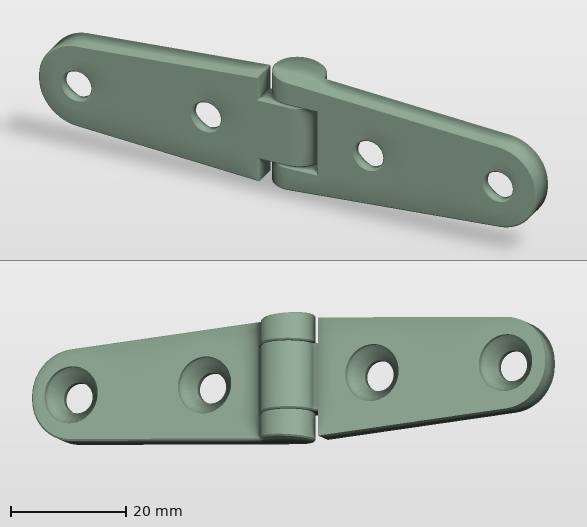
import cadquery as cq
import math

LEAF_LENGTH = 48.1
BARREL_RADIUS = 4.76
LEAF_THICKNESS = BARREL_RADIUS
AXIS_HALF_HEIGHT = 10.8
TAPER_ANGLE = math.radians(3.8)
TIP_CORNER_RADIUS = 7.8
BARREL_BLEND_RADIUS = 0.8
EDGE_BREAK = 0.3

TONGUE_HALF_HEIGHT = 6.0
SLOT_HALF_HEIGHT = 6.1
CLEARANCE_REACH = 5.6

HOLE_RADIUS = 2.7
SINK_RADIUS = 5.0
SINK_LIP_DEPTH = 0.8
SINK_DEPTH = 3.3
HOLE_OFFSETS = (15.7, 40.7)

TAPER = math.tan(TAPER_ANGLE)
ROOT_HALF_HEIGHT = AXIS_HALF_HEIGHT + BARREL_RADIUS * TAPER
TIP_HALF_HEIGHT = AXIS_HALF_HEIGHT - LEAF_LENGTH * TAPER


def tapered_outline():
    """Tapered plate with rounded tip corners, as deep as the barrel."""
    return (
        cq.Workplane("XZ")
        .polyline([
            (-BARREL_RADIUS, -ROOT_HALF_HEIGHT),
            (LEAF_LENGTH, -TIP_HALF_HEIGHT),
            (LEAF_LENGTH, TIP_HALF_HEIGHT),
            (-BARREL_RADIUS, ROOT_HALF_HEIGHT),
        ])
        .close()
        .extrude(BARREL_RADIUS, both=True)
        .edges("|Y and >X")
        .fillet(TIP_CORNER_RADIUS)
    )


def barrel_and_plate():
    """Round barrel running into a flat plate, with a blend on the back face."""
    center_distance = BARREL_RADIUS + BARREL_BLEND_RADIUS
    blend_end = math.sqrt(center_distance ** 2 - BARREL_BLEND_RADIUS ** 2)
    barrel_share = BARREL_RADIUS / center_distance
    blend_start = (blend_end * barrel_share, BARREL_BLEND_RADIUS * barrel_share)
    return (
        cq.Workplane("XY")
        .moveTo(0, -LEAF_THICKNESS)
        .lineTo(LEAF_LENGTH, -LEAF_THICKNESS)
        .lineTo(LEAF_LENGTH, 0)
        .lineTo(blend_end, 0)
        .radiusArc(blend_start, BARREL_BLEND_RADIUS)
        .threePointArc((-BARREL_RADIUS, 0), (0, -LEAF_THICKNESS))
        .close()
        .extrude(ROOT_HALF_HEIGHT, both=True)
    )


def knuckle_gap(bottom, top):
    """Block that clears the barrel zone between two heights."""
    length = BARREL_RADIUS + CLEARANCE_REACH
    return (
        cq.Workplane("XY")
        .box(length, 2 * BARREL_RADIUS, top - bottom, centered=(False, True, False))
        .translate((-BARREL_RADIUS, 0, bottom))
    )


def screw_hole(offset):
    """Through hole with a conical sink and a short straight lip at the back."""
    return (
        cq.Workplane("XY")
        .polyline([
            (0, 0),
            (SINK_RADIUS, 0),
            (SINK_RADIUS, -SINK_LIP_DEPTH),
            (HOLE_RADIUS, -SINK_DEPTH),
            (HOLE_RADIUS, -LEAF_THICKNESS),
            (0, -LEAF_THICKNESS),
        ])
        .close()
        .revolve(360, (0, 0), (0, 1))
        .translate((offset, 0, 0))
    )


def leaf(gaps):
    """Leaf towards +X with the given knuckle gaps, holes and broken front edges."""
    body = tapered_outline().intersect(barrel_and_plate())
    for bottom, top in gaps:
        body = body.cut(knuckle_gap(bottom, top))
    for offset in HOLE_OFFSETS:
        body = body.cut(screw_hole(offset))
    return body.faces("<Y").edges().chamfer(EDGE_BREAK)


slot_leaf = leaf([(-SLOT_HALF_HEIGHT, SLOT_HALF_HEIGHT)])

tongue_leaf = leaf([
    (TONGUE_HALF_HEIGHT, ROOT_HALF_HEIGHT),
    (-ROOT_HALF_HEIGHT, -TONGUE_HALF_HEIGHT),
]).mirror("YZ")

result = cq.Compound.makeCompound([slot_leaf.val(), tongue_leaf.val()])